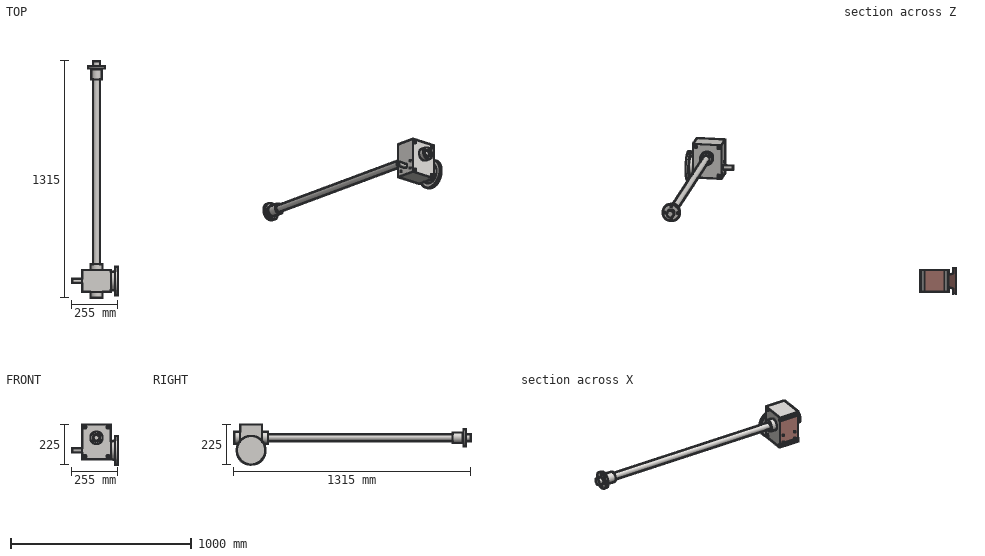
import cadquery as cq


housing_width = 160.0
housing_depth = 122.0
housing_height = 195.0
housing_top = 75.0
boss_diameter = 68.0
boss_length = 33.0
corner_hole_diameter = 13.0
corner_hole_inset = 16.0
tapped_hole_diameter = 6.7
tapped_hole_depth = 20.0
tapped_spacing_y = 75.0
tapped_spacing_z = 43.0

worm_drop = 70.0
shaft_diameter = 25.0
shaft_length = 55.0
center_hole_diameter = 6.7
center_hole_depth = 13.0

flange_diameter = 160.0
flange_thickness = 16.0
neck_small_diameter = 100.0
neck_large_diameter = 110.0
neck_length = 24.0

screw_length = 1315.0
screw_diameter = 40.0
screw_neck_diameter = 33.0
screw_neck_width = 5.0
screw_head_length = 5.0

nut_diameter = 60.0
nut_length = 75.0
nut_flange_diameter = 96.0
nut_flange_thickness = 16.0
nut_groove_diameter = 59.0
nut_groove_width = 4.0
nut_hole_diameter = 9.0
nut_hole_circle = 78.0
nut_hole_count = 4
nut_end_gap = 26.0

half_width = housing_width / 2
half_depth = housing_depth / 2
flange_start_x = half_width + neck_length
housing_middle_z = housing_top - housing_height / 2
boss_face_y = half_depth + boss_length
screw_start_y = -boss_face_y
nut_back_y = screw_start_y + screw_length - nut_end_gap
nut_front_y = nut_back_y - nut_length


def rod_y(diameter, start_y, length):
    """Cylinder on the screw axis, running toward +Y."""
    plane = cq.Plane(origin=(0, start_y, 0), xDir=(1, 0, 0), normal=(0, 1, 0))
    return cq.Workplane(plane).circle(diameter / 2).extrude(length)


def ring_y(outer_diameter, inner_diameter, start_y, length):
    """Tube on the screw axis, used to cut grooves around a round body."""
    return rod_y(outer_diameter, start_y, length).cut(rod_y(inner_diameter, start_y, length))


def rod_x(diameter, start_x, length, y=0, z=-worm_drop):
    """Cylinder parallel to the worm axis, running toward +X."""
    plane = cq.Plane(origin=(start_x, y, z), xDir=(0, 1, 0), normal=(1, 0, 0))
    return cq.Workplane(plane).circle(diameter / 2).extrude(length)


def make_housing():
    box = cq.Workplane("XY").box(housing_width, housing_depth, housing_height)
    body = box.translate((0, 0, housing_middle_z))
    body = body.union(rod_y(boss_diameter, -boss_face_y, 2 * boss_face_y))
    body = body.cut(rod_y(screw_diameter, -boss_face_y, 2 * boss_face_y))

    hole_spacing_x = housing_width - 2 * corner_hole_inset
    hole_spacing_z = housing_height - 2 * corner_hole_inset
    corner_holes = (
        cq.Workplane("XZ", origin=(0, half_depth, housing_middle_z))
        .rect(hole_spacing_x, hole_spacing_z, forConstruction=True)
        .vertices()
        .circle(corner_hole_diameter / 2)
        .extrude(housing_depth)
    )
    body = body.cut(corner_holes)
    for side_y in (-1, 1):
        for side_z in (-1, 1):
            y = side_y * tapped_spacing_y / 2
            z = -worm_drop + side_z * tapped_spacing_z / 2
            body = body.cut(rod_x(tapped_hole_diameter, -half_width, tapped_hole_depth, y, z))
    return body


def make_input_shaft():
    end_x = -half_width - shaft_length
    shaft = rod_x(shaft_diameter, end_x, shaft_length)
    return shaft.cut(rod_x(center_hole_diameter, end_x, center_hole_depth))


def make_motor_flange():
    half_profile = [
        (half_width, 0),
        (half_width, neck_small_diameter / 2),
        (flange_start_x, neck_large_diameter / 2),
        (flange_start_x, flange_diameter / 2),
        (flange_start_x + flange_thickness, flange_diameter / 2),
        (flange_start_x + flange_thickness, 0),
    ]
    profile = cq.Workplane("XY", origin=(0, 0, -worm_drop)).polyline(half_profile).close()
    return profile.revolve(360, (0, 0, 0), (1, 0, 0))


def make_screw():
    screw = rod_y(screw_diameter, screw_start_y, screw_length)
    neck_y = screw_start_y + screw_head_length
    return screw.cut(ring_y(screw_diameter, screw_neck_diameter, neck_y, screw_neck_width))


def make_nut():
    body = rod_y(nut_diameter, nut_front_y, nut_length)
    flange_y = nut_back_y - nut_flange_thickness
    flange = rod_y(nut_flange_diameter, flange_y, nut_flange_thickness)
    nut = body.union(flange).cut(rod_y(screw_diameter, nut_front_y, nut_length))
    groove_y = flange_y - nut_groove_width
    nut = nut.cut(ring_y(nut_diameter, nut_groove_diameter, groove_y, nut_groove_width))
    holes = (
        cq.Workplane("XZ", origin=(0, nut_back_y, 0))
        .polarArray(nut_hole_circle / 2, 0, 360, nut_hole_count)
        .circle(nut_hole_diameter / 2)
        .extrude(nut_flange_thickness)
    )
    return nut.cut(holes)


housing = make_housing()
input_shaft = make_input_shaft()
motor_flange = make_motor_flange()
screw = make_screw()
nut = make_nut()

result = cq.Compound.makeCompound(
    [housing.val(), input_shaft.val(), motor_flange.val(), screw.val(), nut.val()]
)